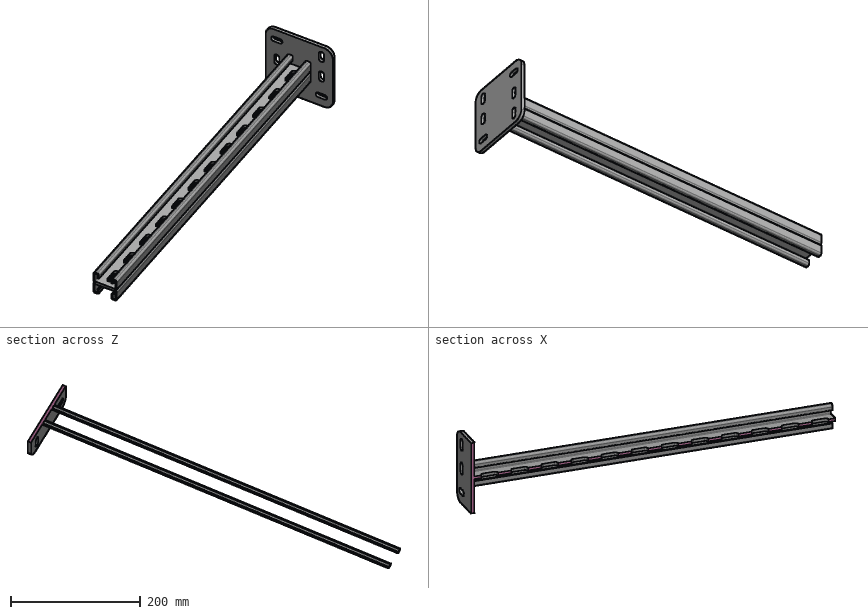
import cadquery as cq

total_length = 606.0
plate_side = 120.0
plate_thickness = 6.0
plate_corner_radius = 15.0
bar_length = total_length - plate_thickness

bar_side = 42.0
sheet_thickness = 2.7
bend_outer_radius = 3.5
bend_inner_radius = bend_outer_radius - sheet_thickness
edge_flat = 2.9
mouth_width = bar_side - 2 * (edge_flat + 2 * bend_outer_radius)
lip_depth = 9.5
channel_depth = bar_side / 2

web_slot_count = 12
web_slot_pitch = bar_length / web_slot_count
web_slot_length = 27.0
web_slot_width = 9.0

plate_slot_offset = 40.0
plate_slot_length = 20.0
plate_slot_width = 9.0

UPRIGHT = 90
LEVEL = 0
plate_slots = [
    (-1, 1, LEVEL),
    (-1, 0, UPRIGHT),
    (-1, -1, UPRIGHT),
    (1, 1, UPRIGHT),
    (1, 0, UPRIGHT),
    (1, -1, LEVEL),
]


def bar_block(width, height, length):
    """Box along Y with its -Y face at Y = 0 and its base on Z = 0."""
    return cq.Workplane("XY").box(width, length, height, centered=(True, False, False))


def channel():
    """Lipped C-channel with its web on Z = 0 and its mouth facing +Z."""
    mouth = bar_block(mouth_width, channel_depth, bar_length)
    mouth = mouth.translate((0, 0, sheet_thickness))
    body = bar_block(bar_side, channel_depth, bar_length).cut(mouth)
    bends = body.edges("|Y and (<X or >X or >Z)")
    body = bends.fillet(bend_outer_radius)

    hollow_width = bar_side - 2 * sheet_thickness
    hollow_height = channel_depth - 2 * sheet_thickness
    hollow = bar_block(hollow_width, hollow_height, bar_length)
    lip_span = mouth_width + 2 * sheet_thickness
    lip_bottom = channel_depth - lip_depth - sheet_thickness
    lips = bar_block(lip_span, hollow_height, bar_length)
    hollow = hollow.cut(lips.translate((0, 0, lip_bottom)))
    inner_bends = hollow.edges("|Y and (<X or >X or >Z)")
    hollow = inner_bends.fillet(bend_inner_radius)
    return body.cut(hollow.translate((0, 0, sheet_thickness)))


def bar():
    upper = channel()
    return upper.union(upper.mirror("XY"))


def web_slots():
    return (
        cq.Workplane("XY")
        .center(0, bar_length / 2)
        .rarray(6, web_slot_pitch, 1, web_slot_count)
        .slot2D(web_slot_length, web_slot_width, UPRIGHT)
        .extrude(sheet_thickness * 2, both=True)
    )


def plate():
    body = cq.Workplane("XZ").rect(plate_side, plate_side).extrude(-plate_thickness)
    body = body.edges("|Y").fillet(plate_corner_radius)
    for side, row, direction in plate_slots:
        slot = (
            cq.Workplane("XZ")
            .center(side * plate_slot_offset, row * plate_slot_offset)
            .slot2D(plate_slot_length, plate_slot_width, direction)
            .extrude(-plate_thickness)
        )
        body = body.cut(slot)
    return body.translate((0, bar_length, 0))


result = bar().cut(web_slots()).union(plate())